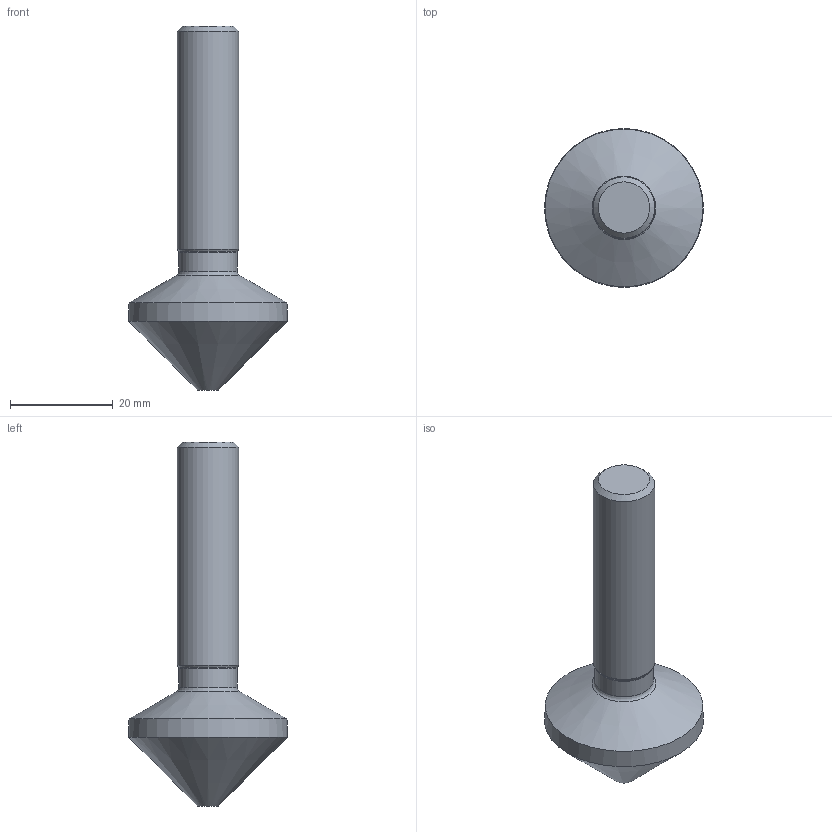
import cadquery as cq
import math

total_height = 71.0

head_radius = 31.0 / 2
rim_top_radius = 30.8 / 2
tip_radius = 4.2 / 2
rim_height = 3.6
lower_cone_angle = 45.0
upper_cone_angle = 30.0

neck_radius = 11.4 / 2
lower_fillet_radius = 1.0
upper_fillet_radius = 0.5

shank_radius = 12.0 / 2
shank_length = 43.5
top_chamfer = 1.0
shank_taper_angle = 30.0

rim_bottom = (head_radius - tip_radius) * math.tan(math.radians(lower_cone_angle))
rim_top = rim_bottom + rim_height
neck_bottom = rim_top + (rim_top_radius - neck_radius) * math.tan(math.radians(upper_cone_angle))
shank_bottom = total_height - shank_length
neck_top = shank_bottom - (shank_radius - neck_radius) / math.tan(math.radians(shank_taper_angle))


def neck_fillet_points(corner_height, fillet_radius, turn_degrees, side):
    """Points (radius, height) of the arc blending the neck into the cone meeting it at corner_height.

    They run from the cone to the neck. The side is -1 for a cone below the neck and +1 for one above.
    """
    turn = math.radians(turn_degrees)
    centre_radius = neck_radius + fillet_radius
    centre_height = corner_height - side * fillet_radius * math.tan(turn / 2)

    def arc_point(angle):
        return (
            centre_radius - fillet_radius * math.cos(angle),
            centre_height + side * fillet_radius * math.sin(angle),
        )

    return arc_point(turn), arc_point(turn / 2), arc_point(0.0)


def half_profile():
    """Closed half section in the XZ plane, from the tip up to the end of the shank."""
    lower_cone_end, lower_middle, lower_neck_end = neck_fillet_points(
        neck_bottom, lower_fillet_radius, 90.0 - upper_cone_angle, -1
    )
    upper_cone_end, upper_middle, upper_neck_end = neck_fillet_points(
        neck_top, upper_fillet_radius, shank_taper_angle, 1
    )
    return (
        cq.Workplane("XZ")
        .moveTo(0, 0)
        .lineTo(tip_radius, 0)
        .lineTo(head_radius, rim_bottom)
        .lineTo(rim_top_radius, rim_top)
        .lineTo(*lower_cone_end)
        .threePointArc(lower_middle, lower_neck_end)
        .lineTo(*upper_neck_end)
        .threePointArc(upper_middle, upper_cone_end)
        .lineTo(shank_radius, shank_bottom)
        .lineTo(shank_radius, total_height - top_chamfer)
        .lineTo(shank_radius - top_chamfer, total_height)
        .lineTo(0, total_height)
        .close()
    )


result = half_profile().revolve(360, (0, 0, 0), (0, 1, 0))